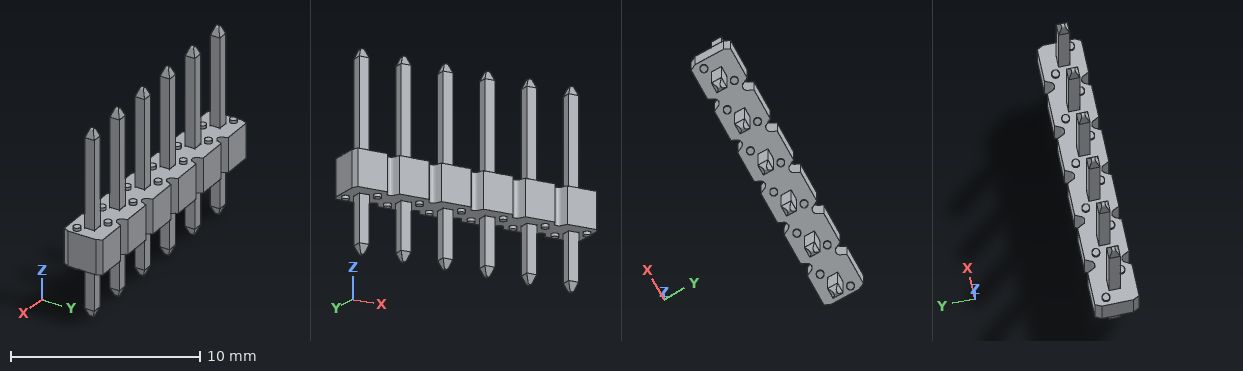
import cadquery as cq
import math

PIN_COUNT = 6
END_MARGIN = 1.07

HOUSING_LENGTH = 14.84
HOUSING_WIDTH = 2.4
HOUSING_HEIGHT = 2.15
CORNER_LENGTH = 0.16
CORNER_WIDTH = 0.34

NOTCH_HALF_OPENING = 0.37
NOTCH_DEPTH = 0.46
NOTCH_RADIUS = 0.24

PEG_RADIUS = 0.21
PEG_HEIGHT = 0.18
PEG_OFFSET_X = 0.67
PEG_OFFSET_Y = 0.55

PIN_SIDE = 0.61
PIN_LENGTH = 11.5
PIN_BELOW_HOUSING = 3.31
TIP_HEIGHT = 0.53
TIP_END_WIDTH = 0.2
TIP_RADIUS = 0.15

PITCH = (HOUSING_LENGTH - 2 * END_MARGIN) / (PIN_COUNT - 1)
PIN_POSITIONS = [(i - (PIN_COUNT - 1) / 2) * PITCH for i in range(PIN_COUNT)]
NOTCH_POSITIONS = [x + PITCH / 2 for x in PIN_POSITIONS[:-1]]
SHAFT_LENGTH = PIN_LENGTH - 2 * TIP_HEIGHT


def round_ended_taper(half_width, height, radius):
    """Closed outline that narrows from a base on the local X axis to a round end at +height.

    The straight flanks run from the base corners tangent into an arc of the given radius.
    """
    centre_height = height - radius
    corner_distance = math.hypot(half_width, centre_height)
    corner_angle = math.atan2(centre_height, half_width)
    tangent_angle = math.acos(radius / corner_distance) - corner_angle
    tangent_x = radius * math.cos(tangent_angle)
    tangent_height = centre_height + radius * math.sin(tangent_angle)
    return (
        cq.Sketch()
        .segment((-half_width, 0), (half_width, 0))
        .segment((half_width, 0), (tangent_x, tangent_height))
        .arc((tangent_x, tangent_height), (0, height), (-tangent_x, tangent_height))
        .segment((-tangent_x, tangent_height), (-half_width, 0))
        .assemble()
    )


def make_notch_cutters():
    """Cutters for the notches in both long sides, each narrowing inward to a round root."""
    outline = round_ended_taper(NOTCH_HALF_OPENING, NOTCH_DEPTH, NOTCH_RADIUS)
    front_notch = cq.Workplane("XY").placeSketch(outline).extrude(HOUSING_HEIGHT)
    front_notch = front_notch.translate((0, -HOUSING_WIDTH / 2, 0))
    back_notch = front_notch.mirror("XZ")
    return [notch.translate((x, 0, 0)) for x in NOTCH_POSITIONS for notch in (front_notch, back_notch)]


def make_housing_block():
    """Plain block with its four vertical corners cut off."""
    end_x = HOUSING_LENGTH / 2
    side_y = HOUSING_WIDTH / 2
    flat_x = end_x - CORNER_LENGTH
    flat_y = side_y - CORNER_WIDTH
    outline = [
        (-flat_x, -side_y), (flat_x, -side_y), (end_x, -flat_y), (end_x, flat_y),
        (flat_x, side_y), (-flat_x, side_y), (-end_x, flat_y), (-end_x, -flat_y),
    ]
    return cq.Workplane("XY").polyline(outline).close().extrude(HOUSING_HEIGHT)


def make_housing():
    """Notched block with stand-off pegs and a square through hole for each pin."""
    housing = make_housing_block()

    for cutter in make_notch_cutters():
        housing = housing.cut(cutter)

    peg_points = []
    for x in PIN_POSITIONS:
        peg_points.append((x - PEG_OFFSET_X, PEG_OFFSET_Y))
        peg_points.append((x + PEG_OFFSET_X, -PEG_OFFSET_Y))
    pegs = (
        cq.Workplane("XY", origin=(0, 0, -PEG_HEIGHT))
        .pushPoints(peg_points)
        .circle(PEG_RADIUS)
        .extrude(HOUSING_HEIGHT + 2 * PEG_HEIGHT)
    )

    pin_holes = (
        cq.Workplane("XY")
        .pushPoints([(x, 0) for x in PIN_POSITIONS])
        .rect(PIN_SIDE, PIN_SIDE)
        .extrude(HOUSING_HEIGHT)
    )
    return housing.union(pegs).cut(pin_holes)


def make_tip():
    """Pin tip standing on Z = 0: round-ended across X, flat taper across Y."""
    half_side = PIN_SIDE / 2
    half_end = TIP_END_WIDTH / 2
    rounded_outline = round_ended_taper(half_side, TIP_HEIGHT, TIP_RADIUS)
    rounded_bar = cq.Workplane("XZ").placeSketch(rounded_outline).extrude(half_side, both=True)
    flat_taper = (
        cq.Workplane("YZ")
        .polyline([(-half_side, 0), (half_side, 0), (half_end, TIP_HEIGHT), (-half_end, TIP_HEIGHT)])
        .close()
        .extrude(half_side, both=True)
    )
    return rounded_bar.intersect(flat_taper)


def make_pin(x):
    """Square pin with the same tapered tip at each end."""
    shaft = cq.Workplane("XY").rect(PIN_SIDE, PIN_SIDE).extrude(SHAFT_LENGTH)
    bottom_tip = make_tip().mirror("XY")
    top_tip = make_tip().translate((0, 0, SHAFT_LENGTH))
    pin = shaft.union(top_tip).union(bottom_tip)
    return pin.translate((x, 0, TIP_HEIGHT - PIN_BELOW_HOUSING))


housing = make_housing()
pins = [make_pin(x) for x in PIN_POSITIONS]

result = cq.Compound.makeCompound([housing.val(), *[pin.val() for pin in pins]])